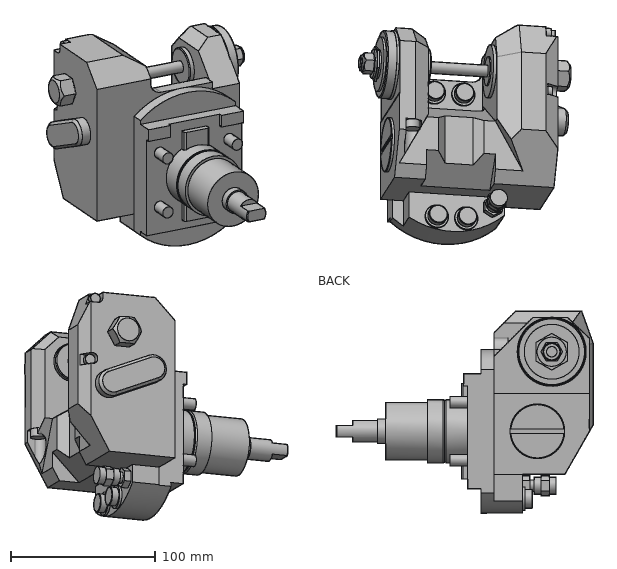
import cadquery as cq
import math


HALF_SPACE_SIZE = 400.0
HEX_SIDES = 6

BODY_BACK_X = -18.2
BODY_BOTTOM_Z = -29.9
ARM_INNER_Y = 24.3
BEVEL_ANGLE = 30.0
SLOPE_FOOT_X = -67.3
SLOPE_ANGLE = 60.2

FRONT_ARM_Y = -66.7
FRONT_ARM_X = -87.0
FRONT_ARM_TOP_Z = 83.12
FRONT_ARM_TOP_X = (-79.0, -33.2)
FRONT_ARM_SHOULDER_Z = 60.8
FRONT_SIDE_BEVEL_Y = -39.7
FRONT_TOP_BEVEL_Y = -38.2
FRONT_CORNER_CUT_X = 6.0
FRONT_CORNER_CUT_Y = 9.8

REAR_ARM_Y = 45.5
REAR_ARM_X = -84.3
REAR_ARM_TOP_Z = 78.7
REAR_ARM_TOP_X = (-69.2, -45.1)
REAR_ARM_SHOULDER_Z = 64.4
REAR_SIDE_BEVEL_Y = 34.8
REAR_SLOPE_BEVEL_Y = 33.7
REAR_TOP_BEVEL_Y = 34.9
REAR_PAD_HEIGHT = 0.5
REAR_PAD_TOP_Z = 26.3

WEB_FRONT_X = -72.45
WEB_NOSE_TOP_Z = 14.0
WEB_LEDGE_X = -44.6
WEB_LEDGE_Z = 30.0
WEB_WALL_X = -28.0
WEB_TOP_Z = 56.7
WEB_NOSE_BOTTOM_Z = -10.0
WEB_FILLET_R = 8.0
FLARE_HALF_WIDTH = 43.8
FLARE_BOTTOM_Z = -21.3
WEB_GROOVE_DEPTH = 6.7
WEB_GROOVE_HALF_FLOOR = 9.9
WEB_GROOVE_HALF_MOUTH = 16.1

FLANGE_R = 56.75
FLANGE_HALF_WIDTH = 37.4
FLANGE_FRONT_X = -9.1
PLATE_HALF_HEIGHT = 39.9
PAD_HEIGHT = 2.7
PAD_BOTTOM_Z = 31.2
PAD_GAP = 40.0
FOOT_FRONT_X = -38.1
FOOT_SIDE_Y = (-37.75, 29.8)

SHANK_COLLAR_R = 22.0
SHANK_R = 20.0
SHANK_GROOVE_R = 21.4
SHANK_COLLAR_END_X = 27.8
SHANK_END_X = 56.7
SHANK_GROOVE_START_X = 14.9
SHANK_GROOVE_FLOOR_END_X = 15.9
SHANK_GROOVE_END_X = 17.0
NECK_R = 8.6
NECK_END_X = 62.5
TANG_R = 7.6
TANG_END_X = 91.0
TANG_FLAT_START_X = 79.6
TANG_THICKNESS = 8.0
TANG_CHAMFER = 0.6

PIN_R = 4.1
PIN_END_X = 12.3
PIN_Y = 27.3
PIN_Z = 20.1
KEY_WIDTH = 19.6
KEY_TOP_Z = 33.1
KEY_BOTTOM_Z = 13.0
KEY_HEIGHT = 4.3
KEY_CHAMFER = 1.2

SCREW_Y = 10.4
SCREW_Z = 46.8
SCREW_HEAD_R = 6.5
SCREW_HEAD_LENGTH = 6.8
SCREW_CHAMFER = 0.4
WASHER_R = 8.1
WASHER_THICKNESS = 1.7

FITTING_Y = -29.0
FITTING_Z = -37.7
FITTING_FLATS = 12.2
FITTING_NUT_X = -43.1
FITTING_NECK_R = 4.0
FITTING_NECK_X = -46.0
FITTING_TUBE_R = 6.0
FITTING_HEX_X = (-56.5, -50.9)
FITTING_END_X = -61.3

SPINDLE_X = -58.2
SPINDLE_Z = 55.05
ROD_R = 4.15
FRONT_SHIELD_R = 18.4
FRONT_SHIELD_THICKNESS = 2.2
FRONT_HUB_R = 10.1
FRONT_HUB_THICKNESS = 0.9
REAR_SHIELD_R = 13.25
REAR_SHIELD_THICKNESS = 3.7
BEARING_SEAT_R = 23.9
BEARING_SEAT_END_Y = 47.2
BEARING_CAP_R = 23.45
BEARING_CAP_END_Y = 53.9
BEARING_COVER_R = 19.0
BEARING_COVER_END_Y = 55.5
SPINDLE_CHAMFER = 0.7
SPACER_R = 10.1
LOCK_NUT_Y = (57.0, 58.4)
LOCK_NUT_FLATS = 22.0
THREAD_R = 5.6
THREAD_END_Y = 68.0
STUB_R = 3.6
STUB_END_Y = 69.0
HEX_NECK_R = 8.3
HEX_NECK_LENGTH = 0.7
HEX_HEAD_END_Y = -79.0
HEX_HEAD_FLATS = 18.8
HEX_TIP_R = 8.1
HEX_TIP_LENGTH = 2.4
NUT_START_Y = 59.8
NUT_END_Y = 66.8
NUT_FLATS = 13.0
NUT_TIP_R = 6.2
NUT_TIP_LENGTH = 1.2

OVAL_ENDS = ((-68.4, 17.8), (-36.9, 30.8))
OVAL_R = 9.5
OVAL_FACE_Y = -75.2
OVAL_CHAMFER = 2.0

FRONT_RECESS_R = 3.8
FRONT_RECESS_HEAD_R = 3.6
FRONT_RECESS_FLOOR_Y = -58.5
FRONT_RECESS_HEAD_LENGTH = 3.9
TOP_RECESS = (-76.0, 79.4)
SIDE_RECESS = (-79.9, 35.5)
REAR_RECESS_X = -78.7
REAR_RECESS_Y = 35.6
REAR_RECESS_R = 5.6
REAR_RECESS_HEAD_R = 5.2
REAR_RECESS_TOP_Z = 8.0
REAR_RECESS_HEAD_LENGTH = 5.6

CAP_X = -48.3
CAP_R = 18.9
CAP_FACE_Y = 48.2
CAP_CHAMFER = 0.5
CAP_SLOT_WIDTH = 3.0
CAP_SLOT_DEPTH = 0.9


def block(x, y, z):
    """Axis-aligned box from (low, high) pairs."""
    size = (x[1] - x[0], y[1] - y[0], z[1] - z[0])
    return cq.Workplane("XY").box(*size, centered=False).translate((x[0], y[0], z[0]))


def profile_xz(points, y_low, y_high):
    """Outline in X and Z, extruded between two Y values."""
    return cq.Workplane("XZ", origin=(0, y_high, 0)).polyline(points).close().extrude(y_high - y_low)


def cylinder_x(x_low, x_high, radius, y=0.0, z=0.0):
    return cq.Workplane("YZ", origin=(x_low, y, z)).circle(radius).extrude(x_high - x_low)


def cylinder_y(y_low, y_high, radius, x=SPINDLE_X, z=SPINDLE_Z):
    return cq.Workplane("XZ", origin=(x, y_high, z)).circle(radius).extrude(y_high - y_low)


def hexagon_x(x_low, x_high, flats, y, z):
    """Hexagonal prism along X with corners up and down."""
    plane = cq.Plane(origin=(x_low, y, z), xDir=(0, 1, 0), normal=(1, 0, 0))
    return cq.Workplane(plane).polygon(HEX_SIDES, flats, circumscribed=True).extrude(x_high - x_low)


def hexagon_y(y_low, y_high, flats, flat_side=(0, 0, 1)):
    """Hexagonal prism along the spindle with flats facing along flat_side."""
    plane = cq.Plane(origin=(SPINDLE_X, y_high, SPINDLE_Z), xDir=flat_side, normal=(0, -1, 0))
    return cq.Workplane(plane).polygon(HEX_SIDES, flats, circumscribed=True).extrude(y_high - y_low)


def tip_cone(base_y, tip_y, base_r, tip_r):
    """Frustum on the spindle axis, used to round off hexagon corners."""
    outline = [(0, base_y), (base_r, base_y), (tip_r, tip_y), (0, tip_y)]
    turned = cq.Workplane("XY").polyline(outline).close().revolve(360, (0, 0, 0), (0, 1, 0))
    return turned.translate((SPINDLE_X, 0, SPINDLE_Z))


def half_space(point, normal):
    """Big block filling the side of a plane that the normal points to."""
    plane = cq.Plane(origin=point, normal=normal)
    return cq.Workplane(plane).rect(HALF_SPACE_SIZE, HALF_SPACE_SIZE).extrude(HALF_SPACE_SIZE)


def bevel_inner_edge(arm, edge_point, outward, start_y, inward_y):
    """Bevel the inner edge of one outline face, from start_y toward the gap."""
    tilt = math.radians(BEVEL_ANGLE)
    length = math.hypot(*outward)
    normal_x = outward[0] / length * math.cos(tilt)
    normal_z = outward[1] / length * math.cos(tilt)
    normal = (normal_x, inward_y * math.sin(tilt), normal_z)
    return arm.cut(half_space((edge_point[0], start_y, edge_point[1]), normal))


def slope_z(x):
    """Height of the underside slope at x."""
    return BODY_BOTTOM_Z + (SLOPE_FOOT_X - x) * math.tan(math.radians(SLOPE_ANGLE))


def arm_outline(front_x, shoulder_z, top_x, top_z):
    back_z = top_z - (BODY_BACK_X - top_x[1])
    return [
        (BODY_BACK_X, BODY_BOTTOM_Z),
        (SLOPE_FOOT_X, BODY_BOTTOM_Z),
        (front_x, slope_z(front_x)),
        (front_x, shoulder_z),
        (top_x[0], top_z),
        (top_x[1], top_z),
        (BODY_BACK_X, back_z),
    ]


def bevel_arm(arm, outline, side_y, slope_y, top_y, inward_y):
    """Bevel the inner edges of the front, front slope and top faces of an arm."""
    front, shoulder_end, top = outline[3], outline[4], outline[5]
    slope_normal = (front[1] - shoulder_end[1], shoulder_end[0] - front[0])
    arm = bevel_inner_edge(arm, front, (-1, 0), side_y, inward_y)
    arm = bevel_inner_edge(arm, front, slope_normal, slope_y, inward_y)
    return bevel_inner_edge(arm, top, (0, 1), top_y, inward_y)


def make_front_arm():
    outline = arm_outline(FRONT_ARM_X, FRONT_ARM_SHOULDER_Z, FRONT_ARM_TOP_X, FRONT_ARM_TOP_Z)
    arm = profile_xz(outline, FRONT_ARM_Y, -ARM_INNER_Y)
    arm = bevel_arm(arm, outline, FRONT_SIDE_BEVEL_Y, FRONT_SIDE_BEVEL_Y, FRONT_TOP_BEVEL_Y, 1)
    corner = (FRONT_ARM_X + FRONT_CORNER_CUT_X, FRONT_ARM_Y, 0)
    return arm.cut(half_space(corner, (-FRONT_CORNER_CUT_Y, -FRONT_CORNER_CUT_X, 0)))


def make_rear_arm():
    outline = arm_outline(REAR_ARM_X, REAR_ARM_SHOULDER_Z, REAR_ARM_TOP_X, REAR_ARM_TOP_Z)
    arm = profile_xz(outline, ARM_INNER_Y, REAR_ARM_Y)
    arm = bevel_arm(arm, outline, REAR_SIDE_BEVEL_Y, REAR_SLOPE_BEVEL_Y, REAR_TOP_BEVEL_Y, -1)
    pad_outline = outline[:3] + [(REAR_ARM_X, REAR_PAD_TOP_Z), (BODY_BACK_X, REAR_PAD_TOP_Z)]
    return arm.union(profile_xz(pad_outline, REAR_ARM_Y, REAR_ARM_Y + REAR_PAD_HEIGHT))


def make_web_fillet(x_low, floor_z):
    """Concave corner fill between a level floor and the front arm."""
    y_low = -ARM_INNER_Y
    y_high = y_low + WEB_FILLET_R
    centre_z = floor_z + WEB_FILLET_R
    corner = block((x_low, BODY_BACK_X), (y_low, y_high), (floor_z, centre_z))
    return corner.cut(cylinder_x(x_low, BODY_BACK_X, WEB_FILLET_R, y_high, centre_z))


def make_web():
    chin_x = WEB_FRONT_X + WEB_NOSE_BOTTOM_Z - BODY_BOTTOM_Z
    outline = [
        (BODY_BACK_X, BODY_BOTTOM_Z),
        (chin_x, BODY_BOTTOM_Z),
        (WEB_FRONT_X, WEB_NOSE_BOTTOM_Z),
        (WEB_FRONT_X, WEB_NOSE_TOP_Z),
        (WEB_LEDGE_X, WEB_LEDGE_Z),
        (WEB_WALL_X, WEB_LEDGE_Z),
        (WEB_WALL_X, WEB_TOP_Z),
        (BODY_BACK_X, WEB_TOP_Z),
    ]
    web = profile_xz(outline, -ARM_INNER_Y, ARM_INNER_Y)

    groove_x = WEB_FRONT_X + WEB_GROOVE_DEPTH
    groove_outline = [
        (WEB_FRONT_X, -WEB_GROOVE_HALF_MOUTH),
        (groove_x, -WEB_GROOVE_HALF_FLOOR),
        (groove_x, WEB_GROOVE_HALF_FLOOR),
        (WEB_FRONT_X, WEB_GROOVE_HALF_MOUTH),
    ]
    groove = cq.Workplane("XY", origin=(0, 0, BODY_BOTTOM_Z)).polyline(groove_outline).close()
    web = web.cut(groove.extrude(WEB_LEDGE_Z - BODY_BOTTOM_Z))

    ramp_normal = (WEB_NOSE_TOP_Z - WEB_LEDGE_Z, 0, WEB_LEDGE_X - WEB_FRONT_X)
    ramp = half_space((WEB_LEDGE_X, 0, WEB_LEDGE_Z), ramp_normal)
    web = web.union(make_web_fillet(WEB_LEDGE_X, WEB_LEDGE_Z).cut(ramp))
    return web.union(make_web_fillet(WEB_WALL_X, WEB_TOP_Z))


def make_flare_cut():
    """Trapezoidal relief through both arms in front of the web nose."""
    outline = [
        (-ARM_INNER_Y, WEB_NOSE_TOP_Z),
        (ARM_INNER_Y, WEB_NOSE_TOP_Z),
        (FLARE_HALF_WIDTH, FLARE_BOTTOM_Z),
        (-FLARE_HALF_WIDTH, FLARE_BOTTOM_Z),
    ]
    sketch = cq.Workplane("YZ", origin=(FRONT_ARM_X, 0, 0)).polyline(outline).close()
    return sketch.extrude(WEB_FRONT_X - FRONT_ARM_X)


def make_flange():
    width = (-FLANGE_HALF_WIDTH, FLANGE_HALF_WIDTH)
    disc = cylinder_x(BODY_BACK_X, FLANGE_FRONT_X, FLANGE_R)
    disc = disc.intersect(block((BODY_BACK_X, FLANGE_FRONT_X), width, (-FLANGE_R, FLANGE_R)))
    flange = disc.union(block((FLANGE_FRONT_X, 0), width, (-PLATE_HALF_HEIGHT, PLATE_HALF_HEIGHT)))
    pads = block((0, PAD_HEIGHT), width, (PAD_BOTTOM_Z, PLATE_HALF_HEIGHT))
    gap = block((0, PAD_HEIGHT), (-PAD_GAP / 2, PAD_GAP / 2), (PAD_BOTTOM_Z, PLATE_HALF_HEIGHT))
    return flange.union(pads.cut(gap))


def make_foot():
    """Lower part of the flange disc, thickened toward the front."""
    foot = cylinder_x(FOOT_FRONT_X, BODY_BACK_X, FLANGE_R)
    return foot.intersect(block((FOOT_FRONT_X, BODY_BACK_X), FOOT_SIDE_Y, (-FLANGE_R, BODY_BOTTOM_Z)))


def make_shank():
    outline = [
        (FLANGE_FRONT_X, 0),
        (FLANGE_FRONT_X, SHANK_COLLAR_R),
        (SHANK_GROOVE_START_X, SHANK_COLLAR_R),
        (SHANK_GROOVE_START_X, SHANK_GROOVE_R),
        (SHANK_GROOVE_FLOOR_END_X, SHANK_GROOVE_R),
        (SHANK_GROOVE_END_X, SHANK_COLLAR_R),
        (SHANK_COLLAR_END_X, SHANK_COLLAR_R),
        (SHANK_COLLAR_END_X, SHANK_R),
        (SHANK_END_X, SHANK_R),
        (SHANK_END_X, NECK_R),
        (NECK_END_X, NECK_R),
        (NECK_END_X, TANG_R),
        (TANG_END_X - TANG_CHAMFER, TANG_R),
        (TANG_END_X, TANG_R - TANG_CHAMFER),
        (TANG_END_X, 0),
    ]
    shank = cq.Workplane("XY").polyline(outline).close().revolve(360, (0, 0, 0), (1, 0, 0))
    for side in (-1, 1):
        flat = half_space((0, 0, side * TANG_THICKNESS / 2), (0, 0, side))
        shank = shank.cut(flat.intersect(cylinder_x(TANG_FLAT_START_X, TANG_END_X, TANG_R)))
    return shank


def make_pins_and_keys():
    parts = cq.Workplane("XY")
    for side_z in (-1, 1):
        for side_y in (-1, 1):
            pin = cylinder_x(FLANGE_FRONT_X, PIN_END_X, PIN_R, side_y * PIN_Y, side_z * PIN_Z)
            parts = parts.add(pin)
        z = sorted((side_z * KEY_BOTTOM_Z, side_z * KEY_TOP_Z))
        key = block((0, KEY_HEIGHT), (-KEY_WIDTH / 2, KEY_WIDTH / 2), z)
        parts = parts.add(key.faces(">X").edges("|Z").chamfer(KEY_CHAMFER))
    return parts.combine()


def make_flange_screw(seat_x, y, z):
    """Washer and round head standing on a seat that faces -X."""
    washer_x = seat_x - WASHER_THICKNESS
    head_x = seat_x - SCREW_HEAD_LENGTH
    head = cylinder_x(head_x, washer_x, SCREW_HEAD_R, y, z).faces("<X").chamfer(SCREW_CHAMFER)
    return head.union(cylinder_x(washer_x, seat_x, WASHER_R, y, z))


def make_fitting():
    def turned(x_low, x_high, radius):
        return cylinder_x(x_low, x_high, radius, FITTING_Y, FITTING_Z)

    nut = hexagon_x(FITTING_NUT_X, FOOT_FRONT_X, FITTING_FLATS, FITTING_Y, FITTING_Z)
    neck = turned(FITTING_NECK_X, FITTING_NUT_X, FITTING_NECK_R)
    tube = turned(FITTING_END_X, FITTING_NECK_X, FITTING_TUBE_R)
    grip = hexagon_x(*FITTING_HEX_X, FITTING_FLATS, FITTING_Y, FITTING_Z)
    return nut.union(neck).union(tube).union(grip)


def make_spindle():
    rod = cylinder_y(-ARM_INNER_Y, ARM_INNER_Y, ROD_R)
    front_shield_y = FRONT_SHIELD_THICKNESS - ARM_INNER_Y
    front_shield = cylinder_y(-ARM_INNER_Y, front_shield_y, FRONT_SHIELD_R)
    front_hub = cylinder_y(front_shield_y, front_shield_y + FRONT_HUB_THICKNESS, FRONT_HUB_R)
    rear_shield = cylinder_y(ARM_INNER_Y - REAR_SHIELD_THICKNESS, ARM_INNER_Y, REAR_SHIELD_R)
    rear_shield = rear_shield.faces("<Y").chamfer(SPINDLE_CHAMFER)
    inner_parts = rod.union(front_shield).union(front_hub).union(rear_shield)
    return inner_parts.union(make_bearing_stack()).union(make_spindle_nut()).union(make_spindle_head())


def make_bearing_stack():
    """Turned parts stacked on the outer face of the rear arm, and the lock nut."""
    seat = cylinder_y(REAR_ARM_Y, BEARING_SEAT_END_Y, BEARING_SEAT_R)
    cap = cylinder_y(BEARING_SEAT_END_Y, BEARING_CAP_END_Y, BEARING_CAP_R)
    cap = cap.faces(">Y").chamfer(SPINDLE_CHAMFER)
    cover = cylinder_y(BEARING_CAP_END_Y, BEARING_COVER_END_Y, BEARING_COVER_R)
    spacer = cylinder_y(BEARING_COVER_END_Y, NUT_START_Y, SPACER_R)
    lock_nut = hexagon_y(*LOCK_NUT_Y, LOCK_NUT_FLATS, flat_side=(1, 0, 0))
    thread = cylinder_y(NUT_END_Y, THREAD_END_Y, THREAD_R)
    stub = cylinder_y(THREAD_END_Y, STUB_END_Y, STUB_R)
    return seat.union(cap).union(cover).union(spacer).union(lock_nut).union(thread).union(stub)


def make_spindle_nut():
    corner_r = NUT_FLATS / math.sqrt(3)
    shoulder_y = NUT_END_Y - NUT_TIP_LENGTH
    envelope = cylinder_y(NUT_START_Y, shoulder_y, corner_r)
    envelope = envelope.union(tip_cone(shoulder_y, NUT_END_Y, corner_r, NUT_TIP_R))
    return hexagon_y(NUT_START_Y, NUT_END_Y, NUT_FLATS).intersect(envelope)


def make_spindle_head():
    corner_r = HEX_HEAD_FLATS / math.sqrt(3)
    neck_y = FRONT_ARM_Y - HEX_NECK_LENGTH
    shoulder_y = HEX_HEAD_END_Y + HEX_TIP_LENGTH
    envelope = cylinder_y(shoulder_y, neck_y, corner_r)
    envelope = envelope.union(tip_cone(shoulder_y, HEX_HEAD_END_Y, corner_r, HEX_TIP_R))
    head = hexagon_y(HEX_HEAD_END_Y, neck_y, HEX_HEAD_FLATS).intersect(envelope)
    return head.union(cylinder_y(neck_y, FRONT_ARM_Y, HEX_NECK_R))


def make_oval_cover():
    (x1, z1), (x2, z2) = OVAL_ENDS
    length = math.hypot(x2 - x1, z2 - z1)
    tilt = math.degrees(math.atan2(z2 - z1, x2 - x1))
    plane = cq.Workplane("XZ", origin=((x1 + x2) / 2, FRONT_ARM_Y, (z1 + z2) / 2))
    cover = plane.slot2D(length + 2 * OVAL_R, 2 * OVAL_R, tilt).extrude(FRONT_ARM_Y - OVAL_FACE_Y)
    return cover.faces("<Y").chamfer(OVAL_CHAMFER)


def make_rear_cap():
    cap = cylinder_y(REAR_ARM_Y, CAP_FACE_Y, CAP_R, CAP_X, 0).faces(">Y").chamfer(CAP_CHAMFER)
    slot_x = (CAP_X - CAP_R, CAP_X + CAP_R)
    slot_y = (CAP_FACE_Y - CAP_SLOT_DEPTH, CAP_FACE_Y)
    return cap.cut(block(slot_x, slot_y, (-CAP_SLOT_WIDTH / 2, CAP_SLOT_WIDTH / 2)))


def cut_front_recess(body, centre, open_top):
    """Screw pocket sunk from the front face and open toward -X."""
    x, z = centre
    depth_y = (FRONT_ARM_Y, FRONT_RECESS_FLOOR_Y)
    pocket = cylinder_y(*depth_y, FRONT_RECESS_R, x, z)
    pocket = pocket.union(block((FRONT_ARM_X, x), depth_y, (z - FRONT_RECESS_R, z + FRONT_RECESS_R)))
    if open_top:
        width_x = (x - FRONT_RECESS_R, x + FRONT_RECESS_R)
        pocket = pocket.union(block(width_x, depth_y, (z, FRONT_ARM_TOP_Z)))
    head_y = FRONT_RECESS_FLOOR_Y - FRONT_RECESS_HEAD_LENGTH
    head = cylinder_y(head_y, FRONT_RECESS_FLOOR_Y, FRONT_RECESS_HEAD_R, x, z)
    return body.cut(pocket).union(head)


def cut_rear_recess(body):
    """Upright screw pocket in the rear arm, open downward and toward -X."""
    def upright(z_low, z_high, radius):
        base = cq.Workplane("XY", origin=(REAR_RECESS_X, REAR_RECESS_Y, z_low))
        return base.circle(radius).extrude(z_high - z_low)

    side_y = (REAR_RECESS_Y - REAR_RECESS_R, REAR_RECESS_Y + REAR_RECESS_R)
    pocket = upright(BODY_BOTTOM_Z, REAR_RECESS_TOP_Z, REAR_RECESS_R)
    slot_x = (REAR_ARM_X, REAR_RECESS_X)
    pocket = pocket.union(block(slot_x, side_y, (BODY_BOTTOM_Z, REAR_RECESS_TOP_Z)))
    head_z = REAR_RECESS_TOP_Z - REAR_RECESS_HEAD_LENGTH
    return body.cut(pocket).union(upright(head_z, REAR_RECESS_TOP_Z, REAR_RECESS_HEAD_R))


def make_part():
    arms = make_front_arm().union(make_rear_arm()).cut(make_flare_cut())
    body = arms.union(make_web())
    body = cut_front_recess(body, TOP_RECESS, True)
    body = cut_front_recess(body, SIDE_RECESS, False)
    body = cut_rear_recess(body)
    body = body.union(make_flange()).union(make_foot()).union(make_shank())
    body = body.union(make_pins_and_keys())
    for y in (-SCREW_Y, SCREW_Y):
        body = body.union(make_flange_screw(WEB_WALL_X, y, SCREW_Z))
        body = body.union(make_flange_screw(FOOT_FRONT_X, y, -SCREW_Z))
    body = body.union(make_fitting()).union(make_spindle())
    return body.union(make_oval_cover()).union(make_rear_cap())


result = make_part()